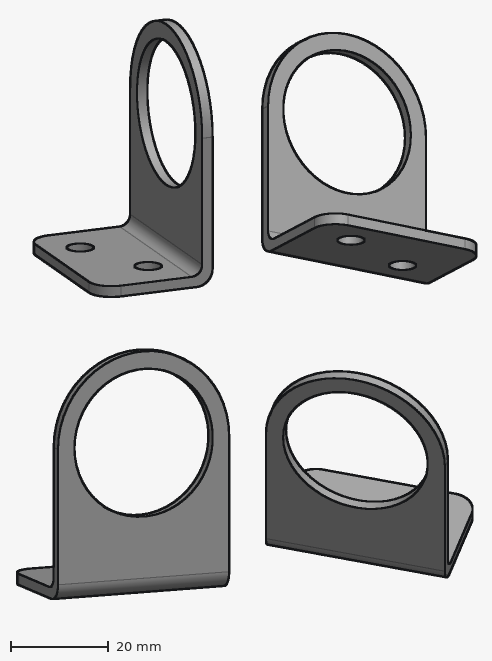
import cadquery as cq

width = 38.1
depth = 25.4
height = 50.8
thickness = 2.35

inner_bend_radius = 2.35
outer_bend_radius = 3.55

top_radius = width / 2
opening_diameter = 30.75
opening_height = height - top_radius

corner_radius = 5.0
mount_hole_diameter = 5.6
mount_hole_offset = 8.65
left_hole_from_back = 17.8
right_hole_from_back = 9.95


def bent_sheet():
    """L-shaped sheet, centred on X, with its back at Y = 0 and its base at Z = 0."""
    profile = (
        cq.Workplane("YZ")
        .polyline([
            (0, 0),
            (-depth, 0),
            (-depth, thickness),
            (-thickness, thickness),
            (-thickness, height),
            (0, height),
        ])
        .close()
    )
    sheet = profile.extrude(width / 2, both=True)
    inner_edge = cq.selectors.NearestToPointSelector((0, -thickness, thickness))
    outer_edge = cq.selectors.NearestToPointSelector((0, 0, 0))
    sheet = sheet.edges("|X").edges(inner_edge).fillet(inner_bend_radius)
    return sheet.edges("|X").edges(outer_edge).fillet(outer_bend_radius)


def round_upright_top(sheet):
    """Round the top of the upright leg to a full half circle."""
    lower = cq.Workplane("XY").box(width, depth, opening_height, centered=(True, False, False))
    dome = cq.Workplane("XZ").center(0, opening_height).circle(top_radius).extrude(depth)
    envelope = lower.translate((0, -depth, 0)).union(dome)
    return sheet.intersect(envelope)


def upright_opening():
    return cq.Workplane("XZ").center(0, opening_height).circle(opening_diameter / 2).extrude(thickness)


def mounting_holes():
    centers = [
        (-mount_hole_offset, -left_hole_from_back),
        (mount_hole_offset, -right_hole_from_back),
    ]
    return cq.Workplane("XY").pushPoints(centers).circle(mount_hole_diameter / 2).extrude(thickness)


bracket = round_upright_top(bent_sheet())
bracket = bracket.faces("<Y").edges("|Z").fillet(corner_radius)
result = bracket.cut(upright_opening()).cut(mounting_holes())